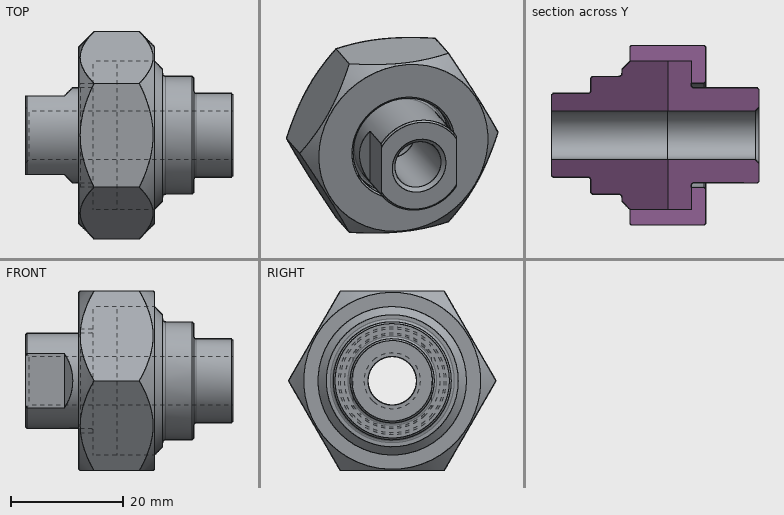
import cadquery as cq
import math

length = 37.0
bore_diameter = 8.6

nut_start = 9.5
nut_end = 23.0
nut_across_flats = 32.0
nut_face_diameter = 31.5
nut_lip_bore = 18.5
nut_lip_chamfer = 0.35
nut_lip_end = 12.05
nut_main_bore = 26.4

tail_diameter = 17.0
tail_end_chamfer = 0.3
tail_bore_mouth = 10.0
tail_fillet = 0.37
flange_end = 16.28
flat_width = 14.0
flat_length = 6.95

cone_end = 24.45
cone_end_diameter = 23.5
collar_diameter = 21.0
collar_end = 30.0
collar_fillet = 0.5
spigot_diameter = 15.0
spigot_fillet = 0.4
body_chamfer = 0.35


def concave_fillet(profile, x, radius, fillet_radius, direction):
    """Draw a fillet between a cylinder and a shoulder at x.

    The profile runs toward +X; direction is +1 when the cylinder lies on the
    +X side of the shoulder and -1 when it lies on the -X side.
    """
    on_cylinder = (x + direction * fillet_radius, radius)
    on_shoulder = (x, radius + fillet_radius)
    inset = fillet_radius * (1 - math.sqrt(0.5))
    middle = (x + direction * inset, radius + inset)
    if direction > 0:
        return profile.lineTo(*on_shoulder).threePointArc(middle, on_cylinder)
    return profile.lineTo(*on_cylinder).threePointArc(middle, on_shoulder)


def revolve_about_x(profile):
    return profile.close().revolve(360, (0, 0, 0), (1, 0, 0))


def make_nut():
    across_corners = nut_across_flats / math.cos(math.radians(30))
    corner_radius = across_corners / 2
    face_radius = nut_face_diameter / 2
    corner_chamfer = corner_radius - face_radius
    hexagon = (
        cq.Workplane("YZ", origin=(nut_start, 0, 0))
        .polygon(6, across_corners)
        .extrude(nut_end - nut_start)
    )
    bevel = (
        cq.Workplane("YZ", origin=(nut_start, 0, 0))
        .circle(corner_radius)
        .extrude(nut_end - nut_start)
        .faces("<X or >X")
        .chamfer(corner_chamfer)
    )
    lip_radius = nut_lip_bore / 2
    main_radius = nut_main_bore / 2
    opening = revolve_about_x(
        cq.Workplane("XY")
        .moveTo(nut_start, 0)
        .lineTo(nut_start, lip_radius + nut_lip_chamfer)
        .lineTo(nut_start + nut_lip_chamfer, lip_radius)
        .lineTo(nut_lip_end, lip_radius)
        .lineTo(nut_lip_end, main_radius)
        .lineTo(nut_end, main_radius)
        .lineTo(nut_end, 0)
    )
    return hexagon.intersect(bevel).cut(opening)


def make_wrench_flat(side):
    """Cutter for one wrench flat that runs out of the tailpiece at 45 degrees."""
    flat_y = side * flat_width / 2
    outer_y = side * tail_diameter / 2
    run_out = (tail_diameter - flat_width) / 2
    return (
        cq.Workplane("XY")
        .moveTo(0, flat_y)
        .lineTo(flat_length, flat_y)
        .lineTo(flat_length + run_out, outer_y)
        .lineTo(0, outer_y)
        .close()
        .extrude(tail_diameter / 2, both=True)
    )


def make_tailpiece():
    bore_radius = bore_diameter / 2
    mouth_radius = tail_bore_mouth / 2
    tail_radius = tail_diameter / 2
    flange_radius = nut_main_bore / 2
    profile = (
        cq.Workplane("XY")
        .moveTo(mouth_radius - bore_radius, bore_radius)
        .lineTo(0, mouth_radius)
        .lineTo(0, tail_radius - tail_end_chamfer)
        .lineTo(tail_end_chamfer, tail_radius)
    )
    profile = concave_fillet(profile, nut_lip_end, tail_radius, tail_fillet, -1)
    profile = (
        profile.lineTo(nut_lip_end, flange_radius)
        .lineTo(flange_end, flange_radius)
        .lineTo(flange_end, bore_radius)
    )
    tailpiece = revolve_about_x(profile)
    for side in (-1, 1):
        tailpiece = tailpiece.cut(make_wrench_flat(side))
    return tailpiece


def make_body():
    bore_radius = bore_diameter / 2
    collar_radius = collar_diameter / 2
    spigot_radius = spigot_diameter / 2
    profile = (
        cq.Workplane("XY")
        .moveTo(flange_end, bore_radius)
        .lineTo(flange_end, nut_main_bore / 2)
        .lineTo(nut_end, nut_main_bore / 2)
        .lineTo(cone_end, cone_end_diameter / 2)
    )
    profile = concave_fillet(profile, cone_end, collar_radius, collar_fillet, 1)
    profile = (
        profile.lineTo(collar_end - body_chamfer, collar_radius)
        .lineTo(collar_end, collar_radius - body_chamfer)
    )
    profile = concave_fillet(profile, collar_end, spigot_radius, spigot_fillet, 1)
    profile = (
        profile.lineTo(length - body_chamfer, spigot_radius)
        .lineTo(length, spigot_radius - body_chamfer)
        .lineTo(length, bore_radius)
    )
    return revolve_about_x(profile)


nut = make_nut()
tailpiece = make_tailpiece()
body = make_body()

result = cq.Compound.makeCompound([nut.val(), tailpiece.val(), body.val()])